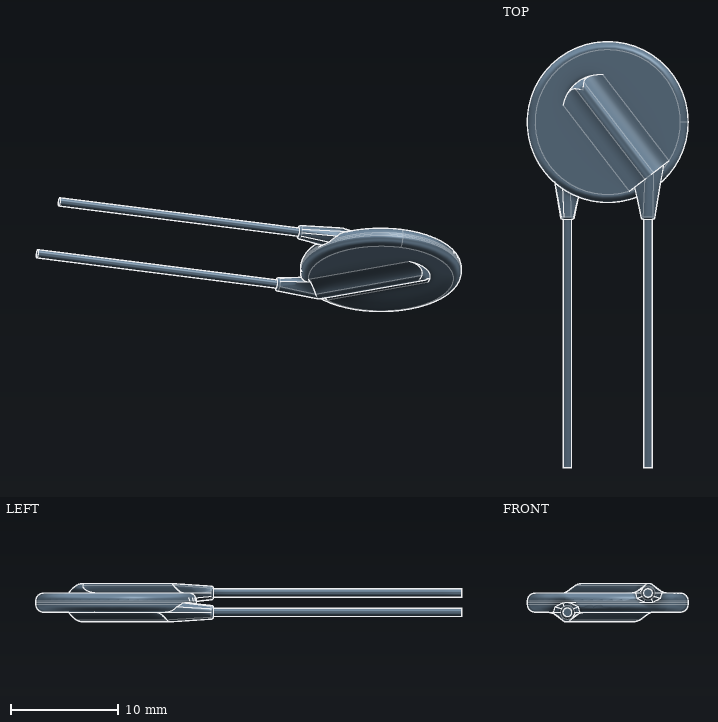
import cadquery as cq
import math

DISC_DIAMETER = 15.0
DISC_THICKNESS = 1.8
DISC_EDGE_RADIUS = 0.75

LEAD_PITCH = 7.5
LEAD_DIAMETER = 0.8
PART_LENGTH = 39.68

RIDGE_HEIGHT = 0.9
RIDGE_HALF_WIDTH = 2.33
CREST_RADIUS = 0.75
RIDGE_DIRECTION = (3.75, -4.88)
RIDGE_HEAD = 3.77
HEAD_BULGE = 0.9
HEAD_ROUND = 0.88

SLEEVE_HALF_WIDTH = 1.7
SLEEVE_SIDE_DEPTH = 0.6
SLEEVE_DEPTH = 1.05
SLEEVE_END_RADIUS = 0.65
SLEEVE_END_Y = -9.05
SLEEVE_END_ROUND = 0.2
SLEEVE_END_ANGLES = [135, 45, 0, -30, -60, -120, -150, -180, -225]

disc_radius = DISC_DIAMETER / 2
face_z = DISC_THICKNESS / 2
top_z = face_z + RIDGE_HEIGHT
embed_depth = face_z / 2
lead_x = LEAD_PITCH / 2
lead_end_y = disc_radius - PART_LENGTH
round_y = SLEEVE_END_Y + SLEEVE_END_ROUND

flat_radius = disc_radius - DISC_EDGE_RADIUS
ridge_tail = math.sqrt(flat_radius**2 - RIDGE_HALF_WIDTH**2)

crest_center = RIDGE_HEIGHT - CREST_RADIUS
radius_sum = (RIDGE_HALF_WIDTH**2 + RIDGE_HEIGHT**2) / (2 * RIDGE_HEIGHT)
flank_radius = radius_sum - CREST_RADIUS
crest_half_width = RIDGE_HALF_WIDTH * CREST_RADIUS / radius_sum
crest_edge = crest_center + (flank_radius - crest_center) * CREST_RADIUS / radius_sum

direction_length = math.hypot(*RIDGE_DIRECTION)
along_x = RIDGE_DIRECTION[0] / direction_length
along_y = RIDGE_DIRECTION[1] / direction_length


def ridge_plane(distance):
    """Plane across the ridge with local Y up, at a distance from the disc centre."""
    return cq.Plane(
        origin=(along_x * distance, along_y * distance, face_z),
        xDir=(-along_y, along_x, 0),
        normal=(along_x, along_y, 0),
    )


def make_disc():
    disc = cq.Workplane("XY").circle(disc_radius).extrude(face_z, both=True)
    return disc.edges().fillet(DISC_EDGE_RADIUS)


def make_ridge():
    """Ridge over the diagonal lead stretch, rounded off at its head."""
    foot = RIDGE_HALF_WIDTH
    head = -RIDGE_HEAD - HEAD_BULGE
    flank_mid_angle = math.asin((foot - crest_half_width) / flank_radius) / 2
    mid_x = foot - flank_radius * math.sin(flank_mid_angle)
    mid_y = flank_radius * (1 - math.cos(flank_mid_angle))
    ridge = (
        cq.Workplane(ridge_plane(head))
        .moveTo(-foot, -embed_depth)
        .lineTo(-foot, 0)
        .threePointArc((-mid_x, mid_y), (-crest_half_width, crest_edge))
        .threePointArc((0, RIDGE_HEIGHT), (crest_half_width, crest_edge))
        .threePointArc((mid_x, mid_y), (foot, 0))
        .lineTo(foot, -embed_depth)
        .close()
        .extrude(ridge_tail - head)
    )

    head_radius = (foot**2 + HEAD_BULGE**2) / (2 * HEAD_BULGE)
    head_center = head + head_radius
    head_cap = (
        cq.Workplane("XY")
        .center(along_x * head_center, along_y * head_center)
        .circle(head_radius)
        .extrude(top_z)
        .faces(">Z")
        .edges()
        .fillet(HEAD_ROUND)
    )
    stretch = (
        cq.Workplane(ridge_plane(-RIDGE_HEAD))
        .rect(2 * foot, 2 * top_z)
        .extrude(RIDGE_HEAD + ridge_tail)
    )
    return ridge.intersect(head_cap.union(stretch))


def sleeve_root_wire():
    """Eight-sided section at the ridge tail, with an arched crest and upright sides."""
    return (
        cq.Workplane(ridge_plane(ridge_tail))
        .moveTo(-crest_half_width, crest_edge)
        .threePointArc((0, RIDGE_HEIGHT), (crest_half_width, crest_edge))
        .lineTo(SLEEVE_HALF_WIDTH, 0)
        .lineTo(SLEEVE_HALF_WIDTH, -SLEEVE_SIDE_DEPTH)
        .lineTo(crest_half_width, -SLEEVE_DEPTH)
        .lineTo(-crest_half_width, -SLEEVE_DEPTH)
        .lineTo(-SLEEVE_HALF_WIDTH, -SLEEVE_SIDE_DEPTH)
        .lineTo(-SLEEVE_HALF_WIDTH, 0)
        .close()
        .wire()
        .val()
    )


def lead_plane(y):
    """Plane across the upper lead with local Y up, facing the free end of the lead."""
    return cq.Plane(origin=(lead_x, y, face_z), xDir=(1, 0, 0), normal=(0, -1, 0))


def sleeve_end_wire():
    """Circle around the lead, split at the angles matching the corners of the root."""

    def on_circle(degrees):
        angle = math.radians(degrees)
        return (SLEEVE_END_RADIUS * math.cos(angle), SLEEVE_END_RADIUS * math.sin(angle))

    outline = cq.Workplane(lead_plane(round_y)).moveTo(*on_circle(SLEEVE_END_ANGLES[0]))
    for start, end in zip(SLEEVE_END_ANGLES, SLEEVE_END_ANGLES[1:]):
        outline = outline.threePointArc(on_circle((start + end) / 2), on_circle(end))
    return outline.wire().val()


def make_sleeve():
    """Ruled sleeve from the ridge tail to a round-edged end on the lead."""
    sleeve = cq.Workplane(cq.Solid.makeLoft([sleeve_root_wire(), sleeve_end_wire()], True))
    tip_radius = SLEEVE_END_RADIUS - SLEEVE_END_ROUND
    diagonal = SLEEVE_END_ROUND * math.sqrt(0.5)
    round_end = (
        cq.Workplane("XY", origin=(lead_x, round_y, face_z))
        .lineTo(SLEEVE_END_RADIUS, 0)
        .threePointArc((tip_radius + diagonal, -diagonal), (tip_radius, -SLEEVE_END_ROUND))
        .lineTo(0, -SLEEVE_END_ROUND)
        .close()
        .revolve(360, (0, 0, 0), (0, 1, 0))
    )
    return sleeve.union(round_end)


def make_lead():
    return cq.Workplane(lead_plane(round_y)).circle(LEAD_DIAMETER / 2).extrude(round_y - lead_end_y)


upper_side = make_ridge().union(make_sleeve()).union(make_lead())
lower_side = upper_side.rotate((0, 0, 0), (0, 1, 0), 180)
result = make_disc().union(upper_side).union(lower_side)